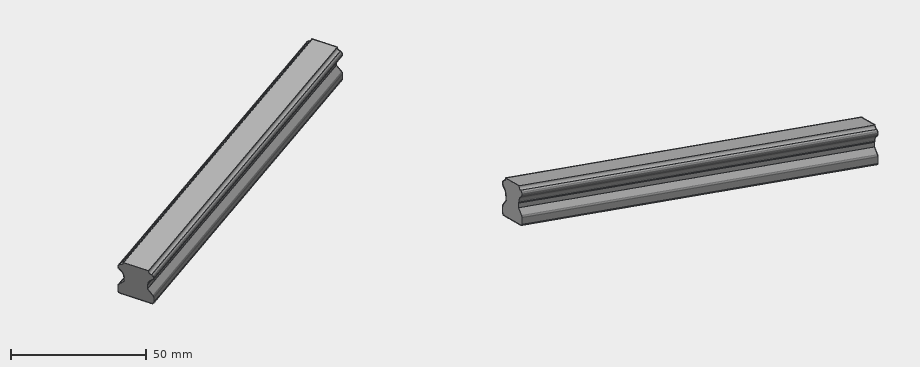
import cadquery as cq

length = 150.0
width = 15.0
height = 15.0

top_width = 10.6
nose_top = 12.8
nose_bottom = 11.8
nose_radius = 0.9
upper_lip_run = 0.9
upper_groove_sagitta = 0.5
lower_lip_run = 0.9
lower_groove_sagitta = 0.3

neck_width = 10.2
neck_top = 9.0
neck_bottom = 8.5
web_width = 9.8
web_top = 8.1
web_bottom = 6.3

base_corner_radius = 1.0
bottom_chamfer = 0.6

half_width = width / 2
base_side_top = web_bottom - (width - web_width) / 2

half_rail = (
    cq.Workplane("XZ", origin=(0, length / 2, 0))
    .moveTo(0, 0)
    .lineTo(half_width - bottom_chamfer, 0)
    .lineTo(half_width, bottom_chamfer)
    .lineTo(half_width, base_side_top)
    .lineTo(web_width / 2, web_bottom)
    .lineTo(web_width / 2, web_top)
    .lineTo(neck_width / 2, neck_bottom)
    .lineTo(neck_width / 2, neck_top)
    .sagittaArc((half_width - lower_lip_run, nose_bottom - lower_lip_run), lower_groove_sagitta)
    .lineTo(half_width, nose_bottom)
    .lineTo(half_width, nose_top)
    .lineTo(half_width - upper_lip_run, nose_top + upper_lip_run)
    .sagittaArc((top_width / 2, height), upper_groove_sagitta)
    .lineTo(0, height)
    .close()
    .extrude(length)
)


def round_side_edges(body, edge_heights, radius):
    """Round the lengthwise edges of the outer +X side that lie at the given heights."""
    for edge_height in edge_heights:
        middle = (half_width, 0, edge_height)
        body = body.edges(cq.selectors.NearestToPointSelector(middle)).fillet(radius)
    return body


half_rail = round_side_edges(half_rail, [nose_top, nose_bottom], nose_radius)
half_rail = round_side_edges(half_rail, [base_side_top], base_corner_radius)

result = half_rail.union(half_rail.mirror("YZ")).clean()